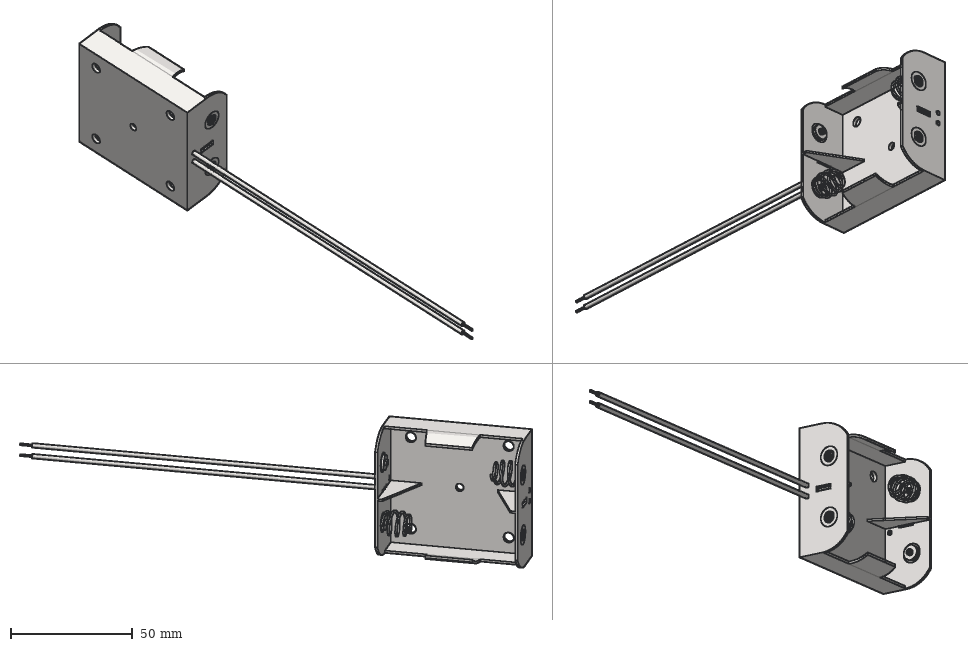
import cadquery as cq
import math

TOTAL_LENGTH = 215.7
LENGTH = 60.5
DEPTH = 24.0
WIDTH = 55.7
WALL = 1.0
FLOOR = 1.7
SHOULDER_Y = 11.6
MOUTH_INSET = 7.0
MID_X = LENGTH / 2
MID_Z = WIDTH / 2

CLIP_TOP_Y = 20.0
CLIP_BASE_LENGTH = 22.7
CLIP_TOP_LENGTH = 19.8

GUSSET_THICKNESS = 0.9
GUSSET_TOP_X = 3.0
GUSSET_SLOPE = 0.5

MOUNT_INSET_X = 9.5
MOUNT_INSET_Z = 7.8
MOUNT_DIAMETER = 4.3
CENTER_DIAMETER = 3.2
SLOT_LOW_Y = 8.5
SLOT_HIGH_Y = 15.5
SLOT_WIDTH = 2.2

AXIS_Y = 14.9
AXIS_OFFSET_Z = 13.2
SHANK_RADIUS = 4.0
HEAD_RADIUS = 3.2
HEAD_X = 2.2
TIP_RADIUS = 1.3
TIP_X = 3.0
MOUTH_RADIUS = 2.4
MOUTH_X = 0.6
THROAT_RADIUS = 1.7
THROAT_X = 1.5
BORE_RADIUS = 0.9

SPRING_WIRE_RADIUS = 0.5
SPRING_BASE_RADIUS = 4.0
SPRING_BELLY_RADIUS = 5.0
SPRING_END_RADIUS = 2.8
SPRING_PITCH = 3.2
OPEN_TURNS = 3
CLOSING_PITCH = 1.5
SPRING_TURNS = OPEN_TURNS + 1
POINTS_PER_TURN = 12

LEAD_Y = 3.9
LEAD_OFFSET_Z = 2.4
LEAD_RADIUS = 0.97
BARE_RADIUS = 0.5
BARE_LENGTH = 5.2


def outline(inset, bottom_y):
    """YZ outline with two curved shoulders, moved inward by `inset` from the sides."""
    half_width = MID_Z - inset
    rise = DEPTH - SHOULDER_Y
    radius = (rise**2 + MOUTH_INSET**2) / (2 * MOUTH_INSET)
    half_angle = math.asin(rise / radius) / 2
    arc_y = SHOULDER_Y + radius * math.sin(half_angle)
    arc_half_width = half_width - radius * (1 - math.cos(half_angle))
    mouth_half_width = half_width - MOUTH_INSET
    return (
        cq.Workplane("YZ")
        .moveTo(bottom_y, MID_Z - half_width)
        .lineTo(SHOULDER_Y, MID_Z - half_width)
        .threePointArc((arc_y, MID_Z - arc_half_width), (DEPTH, MID_Z - mouth_half_width))
        .lineTo(DEPTH, MID_Z + mouth_half_width)
        .threePointArc((arc_y, MID_Z + arc_half_width), (SHOULDER_Y, MID_Z + half_width))
        .lineTo(bottom_y, MID_Z + half_width)
        .close()
    )


def side_windows():
    """Space above the side walls, leaving the end walls and the tapered clips."""
    inner_length = LENGTH - 2 * WALL
    window = (
        cq.Workplane("XY")
        .moveTo(WALL, SHOULDER_Y)
        .lineTo(WALL + inner_length, SHOULDER_Y)
        .lineTo(WALL + inner_length, DEPTH)
        .lineTo(WALL, DEPTH)
        .close()
        .extrude(WIDTH)
    )
    clip = (
        cq.Workplane("XY")
        .moveTo(MID_X - CLIP_BASE_LENGTH / 2, SHOULDER_Y)
        .lineTo(MID_X + CLIP_BASE_LENGTH / 2, SHOULDER_Y)
        .lineTo(MID_X + CLIP_TOP_LENGTH / 2, CLIP_TOP_Y)
        .lineTo(MID_X - CLIP_TOP_LENGTH / 2, CLIP_TOP_Y)
        .close()
        .extrude(WIDTH)
    )
    return window.cut(clip)


def at_far_end(shape):
    """Mirror a shape from the -X end of the housing to its +X end."""
    return shape.mirror("YZ", (MID_X, 0, 0))


def gusset():
    foot_x = GUSSET_TOP_X + GUSSET_SLOPE * (DEPTH - FLOOR)
    return (
        cq.Workplane("XY", origin=(0, 0, MID_Z - GUSSET_THICKNESS / 2))
        .moveTo(WALL, FLOOR)
        .lineTo(foot_x, FLOOR)
        .lineTo(GUSSET_TOP_X, DEPTH)
        .lineTo(WALL, DEPTH)
        .close()
        .extrude(GUSSET_THICKNESS)
    )


def rod(x_start, x_end, radius, y, z):
    """Cylinder along X."""
    return cq.Workplane("YZ", origin=(x_start, y, z)).circle(radius).extrude(x_end - x_start)


def end_wall_cuts():
    """Cuts through the -X end wall: slot, eyelet seats and lead holes."""
    slot_height = SLOT_HIGH_Y - SLOT_LOW_Y
    cuts = cq.Workplane("XY").box(WALL, slot_height, SLOT_WIDTH, centered=(False, False, True))
    cuts = cuts.translate((0, SLOT_LOW_Y, MID_Z))
    for side in (-1, 1):
        axis_z = MID_Z + side * AXIS_OFFSET_Z
        lead_z = MID_Z + side * LEAD_OFFSET_Z
        cuts = cuts.union(rod(0, WALL, SHANK_RADIUS, AXIS_Y, axis_z))
        cuts = cuts.union(rod(0, WALL, LEAD_RADIUS, LEAD_Y, lead_z))
    return cuts


def floor_holes():
    holes = cq.Workplane("XZ", origin=(MID_X, 0, MID_Z)).circle(CENTER_DIAMETER / 2).extrude(-FLOOR)
    corners = (
        cq.Workplane("XZ", origin=(MID_X, 0, MID_Z))
        .rect(LENGTH - 2 * MOUNT_INSET_X, WIDTH - 2 * MOUNT_INSET_Z, forConstruction=True)
        .vertices()
        .circle(MOUNT_DIAMETER / 2)
        .extrude(-FLOOR)
    )
    return holes.union(corners)


def make_housing():
    cavity = outline(WALL, FLOOR).extrude(LENGTH - 2 * WALL).translate((WALL, 0, 0))
    body = outline(0, 0).extrude(LENGTH).cut(cavity).cut(side_windows())
    body = body.union(gusset()).union(at_far_end(gusset()))
    body = body.cut(end_wall_cuts())
    body = body.cut(at_far_end(end_wall_cuts()))
    return body.cut(floor_holes())


def make_eyelet(axis_z):
    """Hollow rivet in the -X end wall, revolved about its cell axis."""
    return (
        cq.Workplane("XY", origin=(0, AXIS_Y, axis_z))
        .moveTo(0, MOUTH_RADIUS)
        .lineTo(0, SHANK_RADIUS)
        .lineTo(WALL, SHANK_RADIUS)
        .lineTo(WALL, HEAD_RADIUS)
        .lineTo(HEAD_X, HEAD_RADIUS)
        .lineTo(HEAD_X, TIP_RADIUS)
        .lineTo(TIP_X, TIP_RADIUS)
        .lineTo(TIP_X, BORE_RADIUS)
        .lineTo(THROAT_X, BORE_RADIUS)
        .lineTo(THROAT_X, THROAT_RADIUS)
        .lineTo(MOUTH_X, THROAT_RADIUS)
        .lineTo(MOUTH_X, MOUTH_RADIUS)
        .close()
        .revolve(360, (0, 0, 0), (1, 0, 0))
    )


def spring_point(turn, axis_z):
    """Point on the coil's centre line after `turn` turns from the wall."""
    share = turn / SPRING_TURNS
    radius = (
        SPRING_BASE_RADIUS * (1 - share) * (1 - 2 * share)
        + SPRING_BELLY_RADIUS * 4 * share * (1 - share)
        + SPRING_END_RADIUS * share * (2 * share - 1)
    )
    angle = 2 * math.pi * turn
    open_turns = min(turn, OPEN_TURNS)
    rise = SPRING_PITCH * open_turns + CLOSING_PITCH * (turn - open_turns)
    return cq.Vector(
        WALL + SPRING_WIRE_RADIUS + rise,
        AXIS_Y + radius * math.cos(angle),
        axis_z + radius * math.sin(angle),
    )


def make_spring(axis_z):
    """Round wire swept along the barrel-shaped coil at the -X end."""
    steps = SPRING_TURNS * POINTS_PER_TURN
    points = [spring_point(step / POINTS_PER_TURN, axis_z) for step in range(steps + 1)]
    path = cq.Edge.makeSpline(points)
    section = cq.Plane(origin=points[0], normal=path.tangentAt(0))
    return (
        cq.Workplane(section)
        .circle(SPRING_WIRE_RADIUS)
        .sweep(cq.Workplane(path), isFrenet=True)
    )


def make_lead(z):
    """Insulated wire from inside the +X end wall, with its bare end."""
    bare_start = TOTAL_LENGTH - BARE_LENGTH
    insulation = rod(LENGTH - WALL, bare_start, LEAD_RADIUS, LEAD_Y, z)
    return insulation.union(rod(bare_start, TOTAL_LENGTH, BARE_RADIUS, LEAD_Y, z))


housing = make_housing()
eyelets = []
leads = []
for side in (-1, 1):
    eyelet = make_eyelet(MID_Z + side * AXIS_OFFSET_Z)
    eyelets += [eyelet.val(), at_far_end(eyelet).val()]
    leads.append(make_lead(MID_Z + side * LEAD_OFFSET_Z).val())

near_spring = make_spring(MID_Z + AXIS_OFFSET_Z)
far_spring = at_far_end(make_spring(MID_Z - AXIS_OFFSET_Z))

result = cq.Compound.makeCompound(
    [housing.val(), *eyelets, near_spring.val(), far_spring.val(), *leads]
)